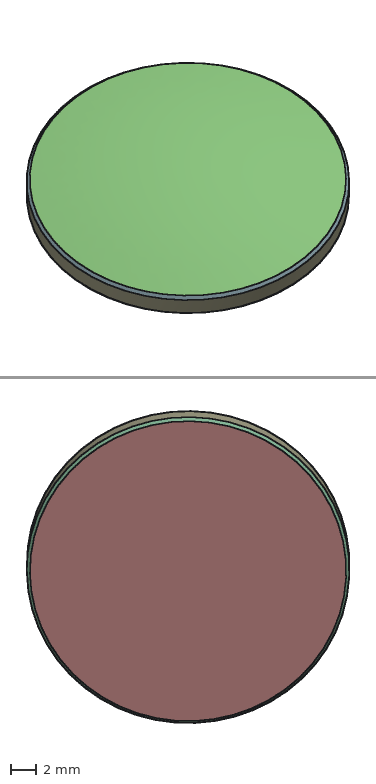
import cadquery as cq
import math

diameter = 25.4
center_thickness = 3.78
dome_edge_height = 2.03
bevel = 0.25

radius = diameter / 2
flat_radius = radius - bevel

dome_rise = center_thickness - dome_edge_height
dome_radius = (flat_radius**2 + dome_rise**2) / (2 * dome_rise)
dome_center_z = center_thickness - dome_radius
arc_mid_radius = flat_radius / 2
arc_mid_z = dome_center_z + math.sqrt(dome_radius**2 - arc_mid_radius**2)

half_section = (
    cq.Workplane("XZ")
    .moveTo(0, 0)
    .lineTo(flat_radius, 0)
    .lineTo(radius, bevel)
    .lineTo(radius, dome_edge_height - bevel)
    .lineTo(flat_radius, dome_edge_height)
    .threePointArc((arc_mid_radius, arc_mid_z), (0, center_thickness))
    .close()
)

result = half_section.revolve(360, (0, 0, 0), (0, 1, 0))